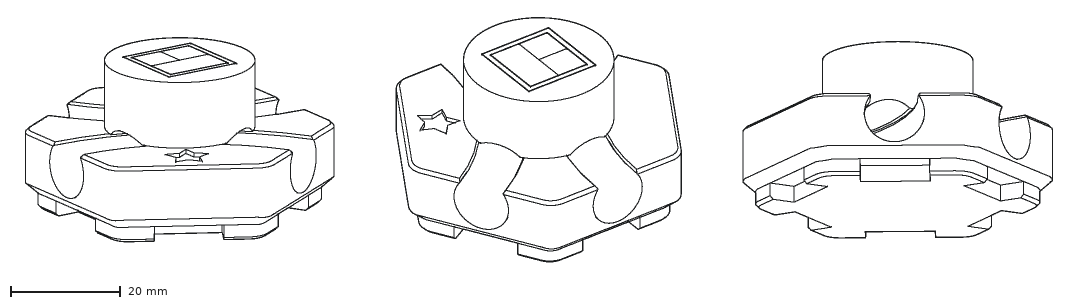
import cadquery as cq
import math

total_height = 27.5

side_count = 6
across_flats = 50.0
corner_radius = 4.0
edge_chamfer = 0.6
tile_top = 15.0
foot_height = 3.0
foot_inset = 2.0
notch_width = 12.75
notch_floor_apothem = 18.1

channel_radius = 5.5
channel_height = 11.15
lip_top_width = 9.3
lip_depth = 0.5

star_points = 5
star_distance = 18.65
star_angle = -30
star_tip_radius = 4.2
star_inner_radius = 2.25
star_depth = 0.8

knob_diameter = 27.5
inlay_depth = 0.5
inlay_clearance = 0.1
frame_size = 14.8
frame_opening = 12.75

half_flats = across_flats / 2
foot_apothem = half_flats - foot_inset
side_step = 360 / side_count
first_side_angle = side_step / 2
pocket_size = frame_size + 2 * inlay_clearance
panel_area_size = frame_opening - 2 * inlay_clearance
panel_width = panel_area_size / 2

channel_bend_radius = half_flats * math.sqrt(3)
channel_bend_centers = [
    (channel_bend_radius, -half_flats),
    (-channel_bend_radius, half_flats),
]
lip_bottom = tile_top - lip_depth
lip_bottom_width = 2 * math.sqrt(channel_radius**2 - (lip_bottom - channel_height) ** 2)


def rounded_hexagon(apothem, bottom, top, widening=0):
    """Hexagonal block with filleted corners; its sides move out by `widening` from bottom to top."""
    diameter_per_apothem = 2 / math.cos(math.pi / side_count)
    block = (
        cq.Workplane("XY", origin=(0, 0, bottom))
        .polygon(side_count, diameter_per_apothem * apothem)
        .workplane(offset=top - bottom)
        .polygon(side_count, diameter_per_apothem * (apothem + widening))
        .loft(ruled=True)
    )
    return block.edges("not #Z").fillet(corner_radius)


def channel_tube(bend_center):
    x, y = bend_center
    center = cq.Vector(x, y, channel_height)
    return cq.Workplane(cq.Solid.makeTorus(channel_bend_radius, channel_radius, center))


def channel_lip(bend_center):
    """Steep-walled slot that opens the tube through the top of the tile."""
    x, y = bend_center
    profile = [
        (channel_bend_radius - lip_bottom_width / 2, lip_bottom),
        (channel_bend_radius + lip_bottom_width / 2, lip_bottom),
        (channel_bend_radius + lip_top_width / 2, tile_top),
        (channel_bend_radius - lip_top_width / 2, tile_top),
    ]
    section = cq.Workplane("XZ", origin=(x, y, 0)).polyline(profile).close()
    return section.revolve(360, (0, 0, 0), (0, 1, 0))


def star_pocket():
    """Five-pointed star with an inner corner facing away from the tile's centre."""
    angle = math.radians(star_angle)
    corners = []
    for i in range(2 * star_points):
        radius = star_inner_radius if i % 2 == 0 else star_tip_radius
        direction = angle + i * math.pi / star_points
        corners.append((radius * math.cos(direction), radius * math.sin(direction)))
    floor_center = (
        star_distance * math.cos(angle),
        star_distance * math.sin(angle),
        tile_top - star_depth,
    )
    return cq.Workplane("XY", origin=floor_center).polyline(corners).close().extrude(star_depth)


def foot_notch(angle):
    """Gap between two neighbouring feet, in the middle of one side."""
    notch = cq.Workplane("XY", origin=(notch_floor_apothem, 0, 0)).box(
        half_flats - notch_floor_apothem, notch_width, foot_height, centered=(False, True, False)
    )
    return notch.rotate((0, 0, 0), (0, 0, 1), angle)


def make_tile():
    slope_bottom = foot_height - foot_inset
    slope = rounded_hexagon(foot_apothem - foot_inset, slope_bottom, tile_top, tile_top - slope_bottom)
    plate = rounded_hexagon(half_flats, 0, tile_top).faces(">Z").chamfer(edge_chamfer)
    feet = rounded_hexagon(foot_apothem, 0, foot_height + foot_inset).faces("<Z").chamfer(edge_chamfer)
    tile = plate.intersect(slope).union(feet)
    for i in range(side_count):
        tile = tile.cut(foot_notch(first_side_angle + i * side_step))
    for center in channel_bend_centers:
        tile = tile.cut(channel_tube(center)).cut(channel_lip(center))
    return tile.cut(star_pocket())


def inlay_block(width, length, x=0, y=0):
    """Rectangular block whose top is flush with the knob's top."""
    floor = cq.Workplane("XY", origin=(x, y, total_height - inlay_depth))
    return floor.rect(width, length).extrude(inlay_depth)


def make_knob():
    base = cq.Workplane("XY", origin=(0, 0, tile_top))
    knob = base.circle(knob_diameter / 2).extrude(total_height - tile_top)
    for center in channel_bend_centers:
        knob = knob.cut(channel_tube(center))
    return knob.cut(inlay_block(pocket_size, pocket_size))


def make_frame():
    return inlay_block(frame_size, frame_size).cut(inlay_block(frame_opening, frame_opening))


def make_long_panel():
    return inlay_block(panel_width, panel_area_size, x=panel_width / 2)


def make_square_panel(side):
    """Panel on the left half of the inlay, above (side = 1) or below (side = -1) its middle."""
    return inlay_block(panel_width, panel_width, x=-panel_width / 2, y=side * panel_width / 2)


tile = make_tile()
knob = make_knob()
frame = make_frame()
long_panel = make_long_panel()
square_panels = [make_square_panel(side).val() for side in (-1, 1)]

result = cq.Compound.makeCompound(
    [tile.val(), knob.val(), frame.val(), long_panel.val(), *square_panels]
)